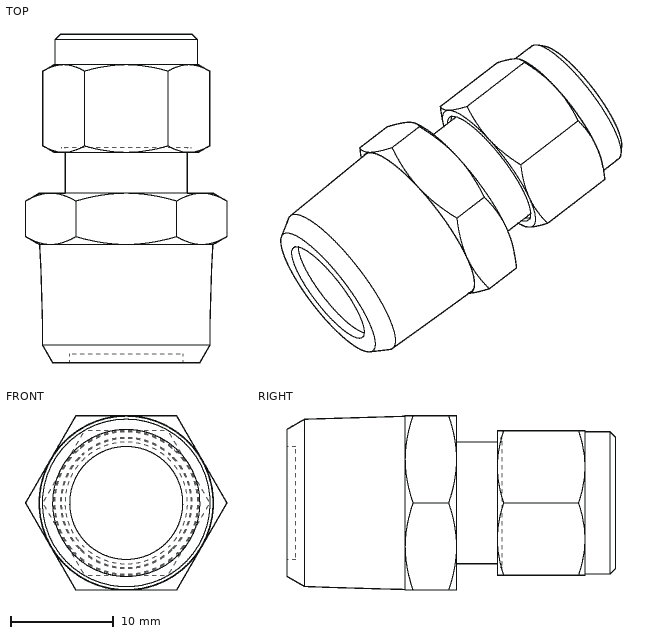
import cadquery as cq
import math

length = 32.0

thread_lead = 1.73
thread_lead_radius = 7.17
thread_small_radius = 8.15
thread_large_radius = 8.45
thread_end = 11.52
recess_radius = 5.5
recess_depth = 0.85

body_hex_flats = 17.0
body_hex_end = 16.5
neck_radius = 5.95

nut_start = 20.48
nut_hex_end = 29.02
nut_hex_flats = 14.08
nut_bore_radius = 6.3
nut_bore_depth = 0.48
collar_radius = 6.95
collar_chamfer = 0.55

corner_chamfer_angle = 30.0
hex_sides = 6


def revolved(profile):
    """Turn (radius, y) points around the Y axis."""
    half_section = [(y, radius) for radius, y in profile]
    return cq.Workplane("YZ").polyline(half_section).close().revolve(360, (0, 0, 0), (1, 0, 0))


def chamfered_hex(flats, start, end):
    """Hexagon along Y with corners on X, both ends trimmed by cones that touch the flats."""
    flat_radius = flats / 2
    corner_radius = flat_radius / math.cos(math.pi / hex_sides)
    drop = (corner_radius - flat_radius) * math.tan(math.radians(corner_chamfer_angle))
    prism = (
        cq.Workplane("XZ", origin=(0, start, 0))
        .polygon(hex_sides, 2 * corner_radius)
        .extrude(start - end)
    )
    envelope = revolved([
        (0, start),
        (flat_radius, start),
        (corner_radius, start + drop),
        (corner_radius, end - drop),
        (flat_radius, end),
        (0, end),
    ])
    return prism.intersect(envelope)


core = revolved([
    (0, recess_depth),
    (recess_radius, recess_depth),
    (recess_radius, 0),
    (thread_lead_radius, 0),
    (thread_small_radius, thread_lead),
    (thread_large_radius, thread_end),
    (neck_radius, thread_end),
    (neck_radius, nut_hex_end),
    (collar_radius, nut_hex_end),
    (collar_radius, length - collar_chamfer),
    (collar_radius - collar_chamfer, length),
    (0, length),
])

body_hex = chamfered_hex(body_hex_flats, thread_end, body_hex_end)
nut_hex = chamfered_hex(nut_hex_flats, nut_start, nut_hex_end)

nut_bore = revolved([
    (0, nut_start),
    (nut_bore_radius, nut_start),
    (nut_bore_radius, nut_start + nut_bore_depth),
    (0, nut_start + nut_bore_depth),
])
nut = nut_hex.cut(nut_bore)

result = core.union(body_hex).union(nut)